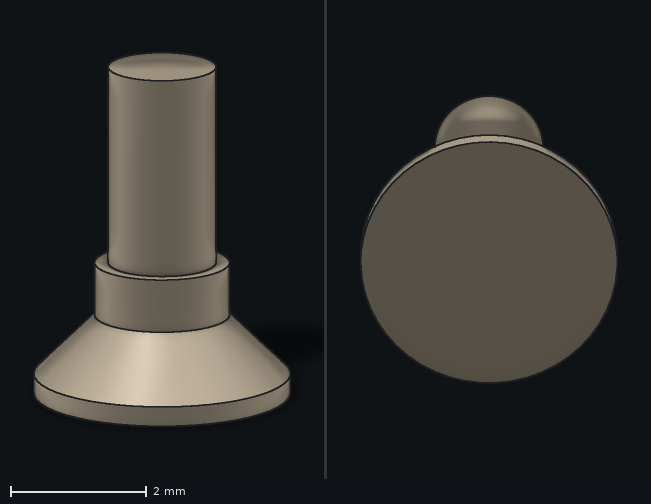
import cadquery as cq

total_height = 5.0
base_radius = 1.9
collar_radius = 1.0
pin_radius = 0.8
rim_height = 0.3
collar_height = 0.8

cone_height = base_radius - collar_radius
cone_top = rim_height + cone_height
collar_top = cone_top + collar_height

profile = (
    cq.Workplane("XZ")
    .lineTo(base_radius, 0)
    .lineTo(base_radius, rim_height)
    .lineTo(collar_radius, cone_top)
    .lineTo(collar_radius, collar_top)
    .lineTo(pin_radius, collar_top)
    .lineTo(pin_radius, total_height)
    .lineTo(0, total_height)
    .close()
)

result = profile.revolve(360, (0, 0, 0), (0, 1, 0))